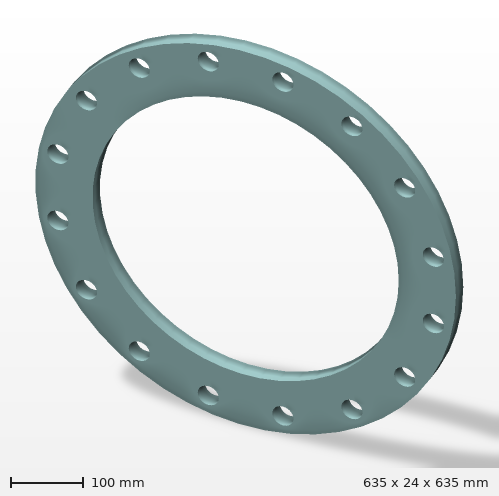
import cadquery as cq

outer_diameter = 635.0
bore_diameter = 462.0
thickness = 24.0

bolt_count = 16
bolt_hole_diameter = 32.0
bolt_circle_diameter = 578.0
first_bolt_angle = 360 / bolt_count / 2


def make_ring():
    """Plain ring with its rear face in the XZ plane."""
    return (
        cq.Workplane("XZ")
        .circle(outer_diameter / 2)
        .circle(bore_diameter / 2)
        .extrude(thickness)
    )


def make_bolt_holes():
    """Cylinders that cut the bolt holes through the full thickness."""
    return (
        cq.Workplane("XZ")
        .polarArray(bolt_circle_diameter / 2, first_bolt_angle, 360, bolt_count)
        .circle(bolt_hole_diameter / 2)
        .extrude(thickness)
    )


result = make_ring().cut(make_bolt_holes())